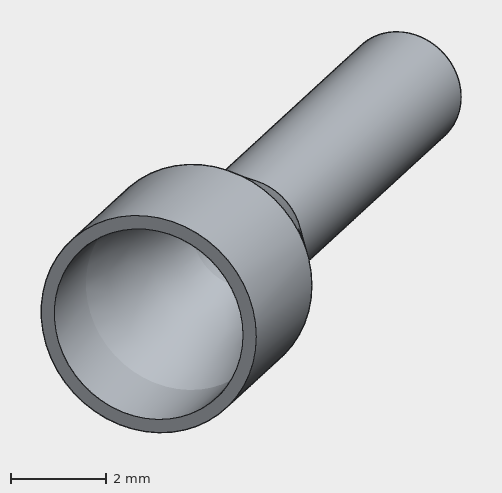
import cadquery as cq

total_length = 16.0
tube_length = 10.0
collar_length = 3.5
socket_depth = 2.0

collar_diameter = 4.8
socket_diameter = 4.2
tube_diameter = 2.6
tube_bore = 2.29

mouth_y = 0.0
tube_end_y = mouth_y + total_length
tube_start_y = tube_end_y - tube_length


def stepped_cone(wide_diameter, narrow_diameter, wide_length, cone_end_y):
    """Wide cylinder, cone and narrow cylinder, one after another along Y."""
    wide_radius = wide_diameter / 2
    narrow_radius = narrow_diameter / 2
    return (
        cq.Workplane("XY")
        .moveTo(0, mouth_y)
        .lineTo(wide_radius, mouth_y)
        .lineTo(wide_radius, mouth_y + wide_length)
        .lineTo(narrow_radius, cone_end_y)
        .lineTo(narrow_radius, tube_end_y)
        .lineTo(0, tube_end_y)
        .close()
        .revolve(360, (0, 0, 0), (0, 1, 0))
    )


outer_body = stepped_cone(collar_diameter, tube_diameter, collar_length, tube_start_y)
bore = stepped_cone(socket_diameter, tube_bore, socket_depth, tube_start_y)
result = outer_body.cut(bore)